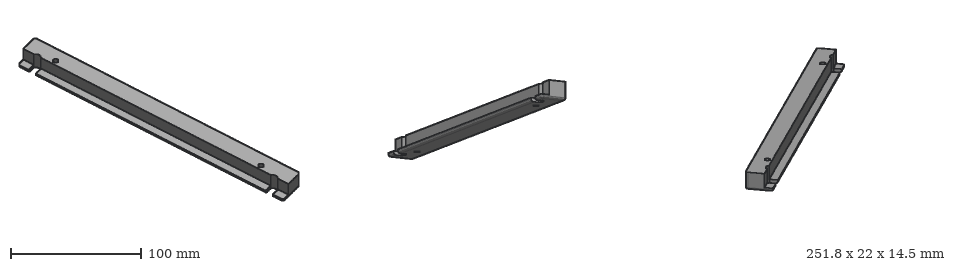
import cadquery as cq

length = 251.8
depth = 22.0
height = 14.5

flange_thickness = 3.0
bar_depth = 15.0
bar_front = depth / 2 - bar_depth

rounding_radius = 2.0

notch_width = 6.8
notch_spacing = 225.0
notch_depth = 8.5
notch_end_rise = 2.0

hole_diameter = 4.3
hole_spacing = 195.0
hole_from_back = 11.0
hole_pair_offset = -0.5


def rounded_bar():
    """Full-height block with rounded vertical corners and bottom rim."""
    block = cq.Workplane("XY").box(length, depth, height, centered=(True, True, False))
    return block.edges("|Z").fillet(rounding_radius).faces("<Z").edges().fillet(rounding_radius)


def flange_clearance():
    """Space removed above the flange, in front of the bar."""
    clearance_depth = depth - bar_depth
    return (
        cq.Workplane("XY")
        .box(length, clearance_depth, height, centered=(True, True, False))
        .translate((0, bar_front - clearance_depth / 2, flange_thickness))
    )


def notch(x):
    """Vertical slot with an arched inner end, running out of the front."""
    half_width = notch_width / 2
    front = -depth / 2
    arc_start = front + notch_depth - notch_end_rise
    return (
        cq.Workplane("XY")
        .moveTo(x - half_width, front)
        .lineTo(x - half_width, arc_start)
        .threePointArc((x, front + notch_depth), (x + half_width, arc_start))
        .lineTo(x + half_width, front)
        .close()
        .extrude(height)
    )


def hole(x):
    """Plain vertical through hole."""
    return (
        cq.Workplane("XY")
        .center(x, depth / 2 - hole_from_back)
        .circle(hole_diameter / 2)
        .extrude(height)
    )


result = rounded_bar().cut(flange_clearance())
for side in (-1, 1):
    result = result.cut(notch(side * notch_spacing / 2))
    result = result.cut(hole(hole_pair_offset + side * hole_spacing / 2))